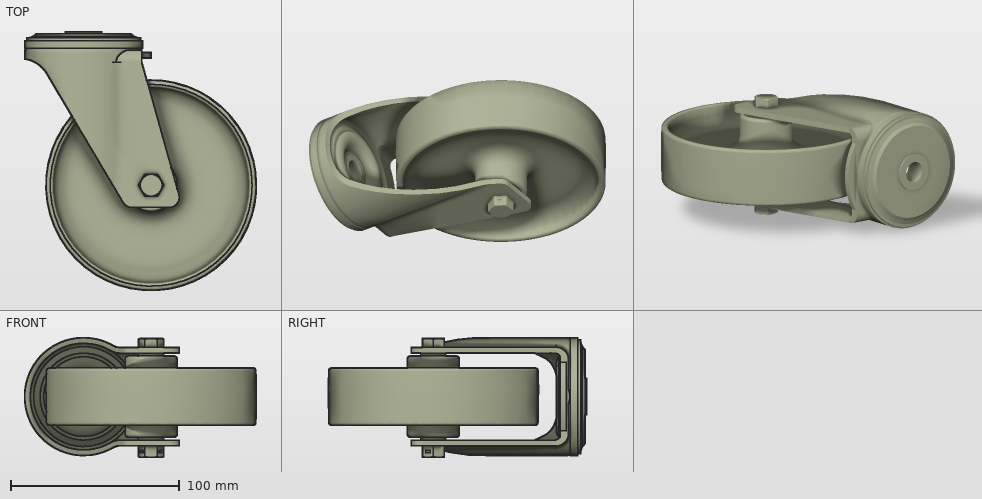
import cadquery as cq
import math


wheel_radius = 62.5
swivel_x = -40.0
head_radius = 35.0
sheet = 3.4
fork_top = 81.2

leg_half_width = 29.2
concave_bend = 9.0
leg_top = 80.1
leg_top_bend = 6.9
leg_bottom = -13.2
leg_corner = 6.0
rear_edge_x = -5.5
rear_edge_y = 72.9
rear_slope = 0.28
front_edge_x = -39.9
front_edge_y = 29.0
front_slope = 0.593
skirt_bottom = 74.9
skirt_corner = 17.7

plate_bottom = 75.4
head_edge_y = 78.7
head_edge_inset = 0.6
plate_radius = 25.8
gutter_y = 77.4
gutter_fillet = 2.0
lug_height = 3.4

cap_wall_top = 85.6
cap_step_top = 87.5
cap_top = 90.0
cap_step_radius = 33.8
cap_cone_radius = 32.1
cap_break_radius = 29.6
cap_break_y = 88.4
cap_top_radius = 27.8

pin_bore_radius = 6.1
pin_tube_radius = 10.1
pin_top_radius = 10.9
pin_top = 153.5 - wheel_radius
pin_bottom = 77.0
bore_chamfer = 0.6
tube_projection = 0.6
race_inner_radius = 12.3
race_cone_radius = 16.1
race_radius = 23.6
race_cone_y = 74.3
race_crest_y = 72.9

wheel_half_width = 17.0
tread_crown = 0.5
tread_edge_round = 1.8
rim_radius = 59.9
rim_lip_round = 1.5
rim_fillet_radius = 58.0
web_flat_radius = 50.0
rim_fillet_height = 7.0
web_half_thickness = 3.0
hub_radius = 15.5
hub_half_length = 24.1
hub_edge_round = 2.0
hub_fillet = 8.1

sleeve_radius = 7.5
shank_radius = 4.0
hex_flats = 13.0
bolt_head_height = 5.4
nut_height = 6.9
hex_chamfer_slope = math.tan(math.radians(30))
dent_width = 3.0
dent_height = 1.7
dent_depth = 0.5
dent_centre = 3.4

beyond = 7.7
leg_inner = leg_half_width - sheet


def revolve_about_swivel(profile):
    """Turn a closed XY wire about the swivel axis; its X values are swivel radii."""
    return profile.close().revolve(360, (0, 0), (0, 1)).translate((swivel_x, 0, 0))


def legs_prism(inset):
    """Both legs and their concave bends in plan, inset from the outer skin."""
    bend_z = leg_half_width + concave_bend
    bend_x = math.sqrt((head_radius + concave_bend) ** 2 - bend_z ** 2)
    radius = head_radius - inset
    bend_radius = concave_bend + inset
    half_width = leg_half_width - inset
    tangent_x = bend_x * radius / (radius + bend_radius)
    tangent_z = bend_z * radius / (radius + bend_radius)
    end_x = wheel_radius - swivel_x
    return (
        cq.Workplane("XZ", origin=(swivel_x, rear_edge_y - inset, 0))
        .moveTo(end_x, half_width)
        .lineTo(bend_x, half_width)
        .radiusArc((tangent_x, tangent_z), bend_radius)
        .lineTo(tangent_x, -tangent_z)
        .radiusArc((bend_x, -half_width), bend_radius)
        .lineTo(end_x, -half_width)
        .close()
        .extrude(rear_edge_y - leg_bottom + beyond)
    )


def channel_top(half_width, y_top, bend, x_end):
    """Block between the legs with its two upper edges rounded."""
    y_low = y_top - bend - beyond
    length = x_end - swivel_x
    return (
        cq.Workplane("XY")
        .box(length, y_top - y_low, 2 * half_width, centered=(False, False, True))
        .edges("|X and >Y")
        .fillet(bend)
        .translate((swivel_x, y_low, 0))
    )


def head_skin():
    """Solid head and skirt, with the rounded edge under the cap."""
    edge_middle = (head_edge_y + fork_top) / 2
    return revolve_about_swivel(
        cq.Workplane("XY")
        .moveTo(0, leg_bottom - beyond)
        .lineTo(head_radius, leg_bottom - beyond)
        .lineTo(head_radius, head_edge_y)
        .threePointArc(
            (head_radius - head_edge_inset / 4, edge_middle),
            (head_radius - head_edge_inset, fork_top),
        )
        .lineTo(0, fork_top)
    )


def head_cavity():
    """Hollow of the head: a flat plate, a gutter rising outward and a fillet into the skirt."""
    inner_radius = head_radius - sheet
    return revolve_about_swivel(
        cq.Workplane("XY")
        .moveTo(0, plate_bottom)
        .lineTo(plate_radius, plate_bottom)
        .lineTo(inner_radius - gutter_fillet, gutter_y)
        .radiusArc((inner_radius, gutter_y - gutter_fillet), gutter_fillet)
        .lineTo(inner_radius, leg_bottom - 2 * beyond)
        .lineTo(0, leg_bottom - 2 * beyond)
    )


def rear_lug():
    """Edge of a disc about the swivel axis that shows behind the head."""
    lug = (
        cq.Workplane("XZ", origin=(swivel_x, plate_bottom, 0))
        .circle(-swivel_x)
        .extrude(-lug_height)
    )
    keep = cq.Workplane("XY").box(-2 * rear_edge_x, 3 * plate_bottom, 4 * head_radius)
    return lug.intersect(keep)


def side_outline():
    """Side shape of the fork, seen along the axle."""
    drop_to_bottom = front_edge_y - leg_bottom
    front_bottom_x = front_edge_x + front_slope * drop_to_bottom
    skirt_corner_x = front_edge_x - front_slope * (skirt_bottom - front_edge_y)
    rear_bottom_x = rear_edge_x + rear_slope * (rear_edge_y - leg_bottom)
    front_limit = swivel_x - head_radius - beyond
    outline = (
        cq.Workplane("XY")
        .moveTo(front_limit, fork_top + beyond)
        .lineTo(front_limit, skirt_bottom)
        .lineTo(skirt_corner_x, skirt_bottom)
        .lineTo(front_bottom_x, leg_bottom)
        .lineTo(rear_bottom_x, leg_bottom)
        .lineTo(rear_edge_x, rear_edge_y)
        .lineTo(rear_edge_x, fork_top + beyond)
        .close()
        .extrude(2 * head_radius, both=True)
    )
    outline = outline.edges("|Z").edges("<Y").fillet(leg_corner)
    corner = cq.selectors.NearestToPointSelector((skirt_corner_x, skirt_bottom, 0))
    return outline.edges("|Z").edges(corner).fillet(skirt_corner)


def make_fork():
    outside = (
        head_skin()
        .union(legs_prism(0))
        .intersect(side_outline())
        .union(channel_top(leg_half_width, leg_top, leg_top_bend, rear_edge_x))
    )
    inside = (
        head_cavity()
        .union(legs_prism(sheet))
        .union(channel_top(leg_inner, plate_bottom, leg_top_bend - sheet, wheel_radius))
    )
    fork = outside.cut(inside).union(rear_lug())
    pin_hole = (
        cq.Workplane("XZ", origin=(swivel_x, fork_top + beyond, 0))
        .circle(race_radius)
        .extrude(fork_top - plate_bottom + 2 * beyond)
    )
    axle_hole = cq.Workplane("XY").circle(shank_radius).extrude(2 * head_radius, both=True)
    return fork.cut(pin_hole).cut(axle_hole)


def make_cap():
    return revolve_about_swivel(
        cq.Workplane("XY")
        .moveTo(pin_top_radius, fork_top)
        .lineTo(head_radius, fork_top)
        .lineTo(head_radius, cap_wall_top)
        .lineTo(cap_step_radius, cap_wall_top)
        .lineTo(cap_step_radius, cap_step_top)
        .lineTo(cap_cone_radius, cap_step_top)
        .lineTo(cap_break_radius, cap_break_y)
        .lineTo(cap_top_radius, cap_top)
        .lineTo(pin_top_radius, cap_top)
    )


def make_king_pin():
    race_inner_y = pin_bottom + tube_projection
    return revolve_about_swivel(
        cq.Workplane("XY")
        .moveTo(pin_bore_radius, pin_top)
        .lineTo(pin_bore_radius, pin_bottom + bore_chamfer)
        .lineTo(pin_bore_radius + bore_chamfer, pin_bottom)
        .lineTo(pin_tube_radius, pin_bottom)
        .lineTo(pin_tube_radius, race_inner_y)
        .lineTo(race_inner_radius, race_inner_y)
        .lineTo(race_cone_radius, race_cone_y)
        .threePointArc(((race_cone_radius + race_radius) / 2, race_crest_y), (race_radius, race_cone_y))
        .lineTo(race_radius, fork_top)
        .lineTo(pin_top_radius, fork_top)
        .lineTo(pin_top_radius, pin_top)
    )


def make_tread():
    edge_radius = wheel_radius - tread_crown
    edge_z = wheel_half_width
    profile = (
        cq.Workplane("XZ")
        .moveTo(rim_radius, -edge_z)
        .lineTo(edge_radius, -edge_z)
        .threePointArc((wheel_radius, 0), (edge_radius, edge_z))
        .lineTo(rim_radius, edge_z)
        .close()
    )
    tread = profile.revolve(360, (0, 0), (0, 1))
    outer_edges = cq.selectors.RadiusNthSelector(-1)
    return tread.faces("<Z or >Z").edges(outer_edges).fillet(tread_edge_round)


def make_wheel_centre():
    fillet_run = rim_fillet_radius - web_flat_radius
    fillet_top = web_half_thickness + rim_fillet_height
    rim_fillet = (fillet_run ** 2 + rim_fillet_height ** 2) / (2 * rim_fillet_height)
    half_profile = (
        cq.Workplane("XZ")
        .moveTo(sleeve_radius, 0)
        .lineTo(sleeve_radius, hub_half_length)
        .lineTo(hub_radius - hub_edge_round, hub_half_length)
        .radiusArc((hub_radius, hub_half_length - hub_edge_round), hub_edge_round)
        .lineTo(hub_radius, web_half_thickness + hub_fillet)
        .radiusArc((hub_radius + hub_fillet, web_half_thickness), -hub_fillet)
        .lineTo(web_flat_radius, web_half_thickness)
        .radiusArc((rim_fillet_radius, fillet_top), -rim_fillet)
        .lineTo(rim_radius - rim_lip_round, wheel_half_width - rim_lip_round)
        .radiusArc((rim_radius, wheel_half_width), rim_lip_round)
        .lineTo(rim_radius, 0)
        .close()
    )
    half = half_profile.revolve(360, (0, 0), (0, 1))
    return half.union(half.mirror("XY"))


def make_axle_sleeve():
    return (
        cq.Workplane("XY")
        .circle(sleeve_radius)
        .circle(shank_radius)
        .extrude(leg_inner, both=True)
    )


def hexagon(height):
    """Hexagon standing on Z = 0, with the corners of its top face chamfered."""
    corner_radius = hex_flats / math.sqrt(3)
    flat_radius = hex_flats / 2
    prism = cq.Workplane("XY").polygon(6, 2 * corner_radius).extrude(height)
    chamfer_drop = (corner_radius - flat_radius) * hex_chamfer_slope
    turned = (
        cq.Workplane("XZ")
        .lineTo(corner_radius, 0)
        .lineTo(corner_radius, height - chamfer_drop)
        .lineTo(flat_radius, height)
        .lineTo(0, height)
        .close()
        .revolve(360, (0, 0), (0, 1))
    )
    return prism.intersect(turned)


def make_bolt():
    head = hexagon(bolt_head_height).translate((0, 0, leg_half_width))
    shank_end = -leg_half_width - nut_height
    shank = (
        cq.Workplane("XY", origin=(0, 0, shank_end))
        .circle(shank_radius)
        .extrude(leg_half_width - shank_end)
    )
    return head.union(shank)


def make_nut():
    nut = hexagon(nut_height).mirror("XY")
    nut = nut.cut(cq.Workplane("XY").circle(shank_radius).extrude(-nut_height))
    dent = cq.Workplane("XY").box(2 * dent_depth, dent_width, dent_height)
    dent = dent.translate((hex_flats / 2, 0, -dent_centre))
    for angle in (90, 210, 330):
        nut = nut.cut(dent.rotate((0, 0, 0), (0, 0, 1), angle))
    return nut.translate((0, 0, -leg_half_width))


fork = make_fork()
cap = make_cap()
king_pin = make_king_pin()
tread = make_tread()
wheel_centre = make_wheel_centre()
axle_sleeve = make_axle_sleeve()
bolt = make_bolt()
nut = make_nut()

result = cq.Compound.makeCompound(
    [
        fork.val(),
        cap.val(),
        king_pin.val(),
        tread.val(),
        wheel_centre.val(),
        axle_sleeve.val(),
        bolt.val(),
        nut.val(),
    ]
)